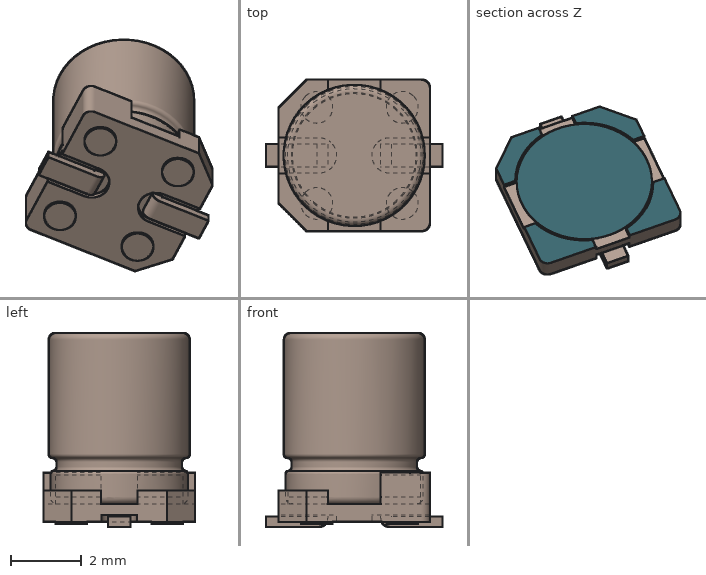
import cadquery as cq
import math

TOTAL_HEIGHT = 5.5
LEAD_SPAN = 5.0

BASE_WIDTH = 4.3
BASE_HALF = BASE_WIDTH / 2
BASE_BOTTOM = 0.15
FLOOR = 0.65
LOW_WALL_TOP = 1.04
HIGH_WALL_TOP = 1.54
CORNER_CHAMFER = 0.8
CORNER_RADIUS = 0.25
LONG_GAP = 1.5
SHORT_GAP = 1.02

CAN_RADIUS = 2.0
CAN_FOOT_RADIUS = 1.95
CAN_EDGE_RADIUS = 0.2
GROOVE_MID = 1.77
GROOVE_FLAT = 0.14
GROOVE_ARC = 0.11

LEAD_WIDTH = 0.65
LEAD_THICKNESS = 0.3
LEAD_INNER = 0.75
LEAD_BEND_RADIUS = 0.25
SLOT_WIDTH = 1.0
SLOT_TOP = 0.335
SLOT_END_CENTRE = 1.0

FOOT_DIAMETER = 0.9
FOOT_BOTTOM = 0.08
FOOT_X = (-1.06, 1.36)
FOOT_Y = 1.36


def box(x_range, y_range, z_range):
    """Axis-aligned box between the given limits."""
    corner = (x_range[0], y_range[0], z_range[0])
    return cq.Workplane("XY").box(
        x_range[1] - x_range[0],
        y_range[1] - y_range[0],
        z_range[1] - z_range[0],
        centered=False,
    ).translate(corner)


def make_base():
    """Base plate with four corner walls around the can, slotted underneath for the leads."""
    height = HIGH_WALL_TOP - BASE_BOTTOM
    base = cq.Workplane("XY").workplane(offset=BASE_BOTTOM).rect(BASE_WIDTH, BASE_WIDTH).extrude(height)
    base = base.edges("|Z and <X").chamfer(CORNER_CHAMFER)
    base = base.edges("|Z and >X").fillet(CORNER_RADIUS)

    full = (-BASE_HALF, BASE_HALF)
    above_floor = (FLOOR, HIGH_WALL_TOP)
    base = base.cut(box((-BASE_HALF, 0), full, (LOW_WALL_TOP, HIGH_WALL_TOP)))
    base = base.cut(box((-LONG_GAP / 2, LONG_GAP / 2), full, above_floor))
    base = base.cut(box(full, (-SHORT_GAP / 2, SHORT_GAP / 2), above_floor))
    bore = cq.Workplane("XY").workplane(offset=FLOOR).circle(CAN_FOOT_RADIUS).extrude(HIGH_WALL_TOP - FLOOR)
    base = base.cut(bore)

    for side in (-1, 1):
        base = base.cut(make_lead_slot(side))
    return base


def make_lead_slot(side):
    """Cutter for one slot: open at the base edge, round at the inner end."""
    half = SLOT_WIDTH / 2
    return (
        cq.Workplane("XY")
        .workplane(offset=BASE_BOTTOM)
        .moveTo(side * BASE_HALF, -half)
        .lineTo(side * SLOT_END_CENTRE, -half)
        .threePointArc((side * (SLOT_END_CENTRE - half), 0), (side * SLOT_END_CENTRE, half))
        .lineTo(side * BASE_HALF, half)
        .close()
        .extrude(SLOT_TOP - BASE_BOTTOM)
    )


def make_can():
    """Revolved can with rounded rims and a rolled crimp groove."""
    groove_radius = CAN_RADIUS - 2 * GROOVE_ARC
    arc_join_radius = CAN_RADIUS - GROOVE_ARC
    flat_low = GROOVE_MID - GROOVE_FLAT / 2
    flat_high = GROOVE_MID + GROOVE_FLAT / 2
    bow = GROOVE_ARC * math.sqrt(0.5)

    low_end = flat_low - 2 * GROOVE_ARC
    low_join = flat_low - GROOVE_ARC
    high_join = flat_high + GROOVE_ARC
    high_end = flat_high + 2 * GROOVE_ARC

    can = (
        cq.Workplane("XZ")
        .moveTo(0, FLOOR)
        .lineTo(CAN_FOOT_RADIUS, FLOOR)
        .lineTo(CAN_FOOT_RADIUS, low_end)
        .tangentArcPoint((arc_join_radius, low_join), relative=False)
        .threePointArc((arc_join_radius - bow, flat_low - bow), (groove_radius, flat_low))
        .lineTo(groove_radius, flat_high)
        .threePointArc((arc_join_radius - bow, flat_high + bow), (arc_join_radius, high_join))
        .threePointArc((arc_join_radius + bow, high_end - bow), (CAN_RADIUS, high_end))
        .lineTo(CAN_RADIUS, TOTAL_HEIGHT)
        .lineTo(0, TOTAL_HEIGHT)
        .close()
        .revolve(360, (0, 0, 0), (0, 1, 0))
    )
    return can.faces("<Z or >Z").edges().fillet(CAN_EDGE_RADIUS)


def make_lead(side):
    """Flat lead with a rounded inner bend that rises into the base."""
    tip = LEAD_SPAN / 2
    bar = box((LEAD_INNER, tip), (-LEAD_WIDTH / 2, LEAD_WIDTH / 2), (0, LEAD_THICKNESS))
    riser = box(
        (LEAD_INNER, LEAD_INNER + LEAD_THICKNESS),
        (-LEAD_WIDTH / 2, LEAD_WIDTH / 2),
        (0, FLOOR),
    )
    lead = bar.union(riser)
    lead = lead.edges("(|Y and <X) and <Z").fillet(LEAD_BEND_RADIUS)
    return lead if side > 0 else lead.mirror("YZ")


def make_feet():
    """Four round feet under the base."""
    centres = [(x, y) for x in FOOT_X for y in (-FOOT_Y, FOOT_Y)]
    return (
        cq.Workplane("XY")
        .workplane(offset=FOOT_BOTTOM)
        .pushPoints(centres)
        .circle(FOOT_DIAMETER / 2)
        .extrude(BASE_BOTTOM - FOOT_BOTTOM)
    )


result = make_base().union(make_can()).union(make_feet())
for lead_side in (-1, 1):
    result = result.union(make_lead(lead_side))